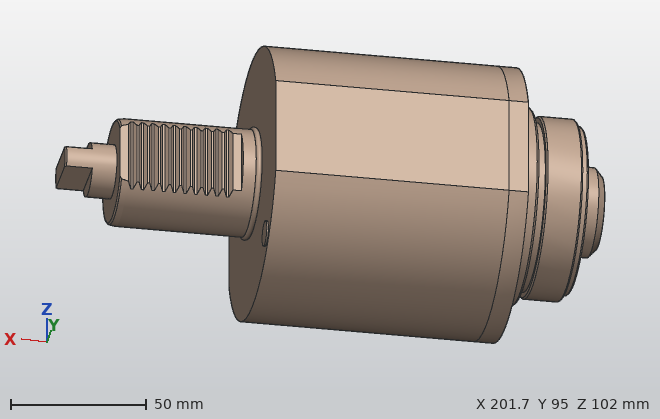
import cadquery as cq

TOTAL_LENGTH = 201.7
HOUSING_DIAMETER = 102.0
FLAT_WIDTH = 95.0
FULL_TURN = 360

NOSE_CHAMFER_END = 2.8
NOSE_END = 9.3
NUT_START = 12.0
NUT_END = 25.6
FLANGE_START = 28.8
PLATE_START = 34.9
PLATE_END = 42.2

HOUSING_END = 129.7
SEAL_RING_END = 132.0
SHANK_TAPER_START = 179.3
SHANK_END = 182.3
TANG_START = 191.5

NOSE_TIP_RADIUS = 13.7
NOSE_RADIUS = 16.7
NECK_RADIUS = 31.5
NUT_RADIUS = 33.9
FLANGE_RADIUS = 37.0
HOUSING_RADIUS = HOUSING_DIAMETER / 2
SHANK_RADIUS = 20.0
SEAL_RING_RADIUS = 21.0
DRIVE_RADIUS = 10.0

NUT_CHAMFER = 0.6
FLANGE_CHAMFER = 0.8
SHANK_TAPER_DROP = 0.5
SHANK_END_CHAMFER = 0.6
TANG_TIP_CHAMFER = 0.6

TANG_THICKNESS = 8.0

TOOTH_FLAT_START = 136.8
TOOTH_FLAT_HEIGHT = 16.1
TOOTH_COUNT = 10
TOOTH_PITCH = 4.0
FIRST_GROOVE_X = 141.5
GROOVE_DEPTH = 1.8
GROOVE_TOP_WIDTH = 3.2
GROOVE_FLOOR_WIDTH = 0.8

PAD_DIAMETER = 9.5
PAD_HEIGHT = 0.6
PAD_Y = 27.8
PAD_Z = -34.9


def revolve_about_x(outline):
    """Revolve a closed XY outline that lies on or above the X axis."""
    return outline.close().revolve(FULL_TURN, (0, 0, 0), (1, 0, 0))


def flatted_cylinder(x_start, x_end):
    """Cylinder along X with two parallel flats facing -Y and +Y."""
    length = x_end - x_start
    start_plane = cq.Workplane("YZ", origin=(x_start, 0, 0))
    cylinder = start_plane.circle(HOUSING_RADIUS).extrude(length)
    flats_block = start_plane.rect(FLAT_WIDTH, HOUSING_DIAMETER).extrude(length)
    return cylinder.intersect(flats_block)


def make_front_cover():
    """Cover plate with the stepped flange, nut and nose in front of it."""
    stepped_front = revolve_about_x(
        cq.Workplane("XY")
        .moveTo(0, 0)
        .lineTo(0, NOSE_TIP_RADIUS)
        .lineTo(NOSE_CHAMFER_END, NOSE_RADIUS)
        .lineTo(NOSE_END, NOSE_RADIUS)
        .lineTo(NOSE_END, NECK_RADIUS - NUT_CHAMFER)
        .lineTo(NOSE_END + NUT_CHAMFER, NECK_RADIUS)
        .lineTo(NUT_START, NECK_RADIUS)
        .lineTo(NUT_START, NUT_RADIUS - NUT_CHAMFER)
        .lineTo(NUT_START + NUT_CHAMFER, NUT_RADIUS)
        .lineTo(NUT_END - NUT_CHAMFER, NUT_RADIUS)
        .lineTo(NUT_END, NUT_RADIUS - NUT_CHAMFER)
        .lineTo(NUT_END, NECK_RADIUS)
        .lineTo(FLANGE_START, NECK_RADIUS)
        .lineTo(FLANGE_START, FLANGE_RADIUS - FLANGE_CHAMFER)
        .lineTo(FLANGE_START + FLANGE_CHAMFER, FLANGE_RADIUS)
        .lineTo(PLATE_START, FLANGE_RADIUS)
        .lineTo(PLATE_START, 0)
    )
    return flatted_cylinder(PLATE_START, PLATE_END).union(stepped_front)


def make_shank():
    """Seal ring, round shank with a broken rear edge, and the drive shaft."""
    taper_end_radius = SHANK_RADIUS - SHANK_TAPER_DROP
    return revolve_about_x(
        cq.Workplane("XY")
        .moveTo(HOUSING_END, 0)
        .lineTo(HOUSING_END, SHANK_RADIUS)
        .threePointArc(
            ((HOUSING_END + SEAL_RING_END) / 2, SEAL_RING_RADIUS),
            (SEAL_RING_END, SHANK_RADIUS),
        )
        .lineTo(SHANK_TAPER_START, SHANK_RADIUS)
        .lineTo(SHANK_END - SHANK_END_CHAMFER, taper_end_radius)
        .lineTo(SHANK_END, taper_end_radius - SHANK_END_CHAMFER)
        .lineTo(SHANK_END, DRIVE_RADIUS)
        .lineTo(TOTAL_LENGTH - TANG_TIP_CHAMFER, DRIVE_RADIUS)
        .lineTo(TOTAL_LENGTH, DRIVE_RADIUS - TANG_TIP_CHAMFER)
        .lineTo(TOTAL_LENGTH, 0)
    )


def make_tooth_cutter():
    """Material removed for the clamping flat and its row of trapezoidal grooves."""
    cut_width = 2 * SHANK_RADIUS
    flat_length = SHANK_END - TOOTH_FLAT_START
    flat_depth = SHANK_RADIUS - TOOTH_FLAT_HEIGHT
    cutter = cq.Workplane("XY", origin=(TOOTH_FLAT_START, TOOTH_FLAT_HEIGHT, 0)).box(
        flat_length, flat_depth, cut_width, centered=(False, False, True)
    )
    for index in range(TOOTH_COUNT):
        groove_x = FIRST_GROOVE_X + index * TOOTH_PITCH
        groove = (
            cq.Workplane("XY")
            .moveTo(groove_x - GROOVE_TOP_WIDTH / 2, TOOTH_FLAT_HEIGHT)
            .lineTo(groove_x - GROOVE_FLOOR_WIDTH / 2, TOOTH_FLAT_HEIGHT - GROOVE_DEPTH)
            .lineTo(groove_x + GROOVE_FLOOR_WIDTH / 2, TOOTH_FLAT_HEIGHT - GROOVE_DEPTH)
            .lineTo(groove_x + GROOVE_TOP_WIDTH / 2, TOOTH_FLAT_HEIGHT)
            .close()
            .extrude(cut_width / 2, both=True)
        )
        cutter = cutter.union(groove)
    return cutter


def make_tang_cutter():
    """Blocks above and below the tang that leave it flat on both Z sides."""
    tang_length = TOTAL_LENGTH - TANG_START
    start_plane = cq.Workplane("YZ", origin=(TANG_START, 0, 0))
    block = start_plane.rect(2 * DRIVE_RADIUS, 2 * DRIVE_RADIUS).extrude(tang_length)
    tang_slab = start_plane.rect(2 * DRIVE_RADIUS, TANG_THICKNESS).extrude(tang_length)
    return block.cut(tang_slab)


def make_pad():
    """Round pad standing slightly proud of the rear face of the housing."""
    return (
        cq.Workplane("YZ", origin=(HOUSING_END, PAD_Y, PAD_Z))
        .circle(PAD_DIAMETER / 2)
        .extrude(PAD_HEIGHT)
    )


def make_housing():
    """Housing with the toothed shank and drive tang behind it."""
    shank = make_shank().cut(make_tooth_cutter()).cut(make_tang_cutter())
    return flatted_cylinder(PLATE_END, HOUSING_END).union(shank).union(make_pad())


front_cover = make_front_cover()
housing = make_housing()

result = cq.Compound.makeCompound([front_cover.val(), housing.val()])